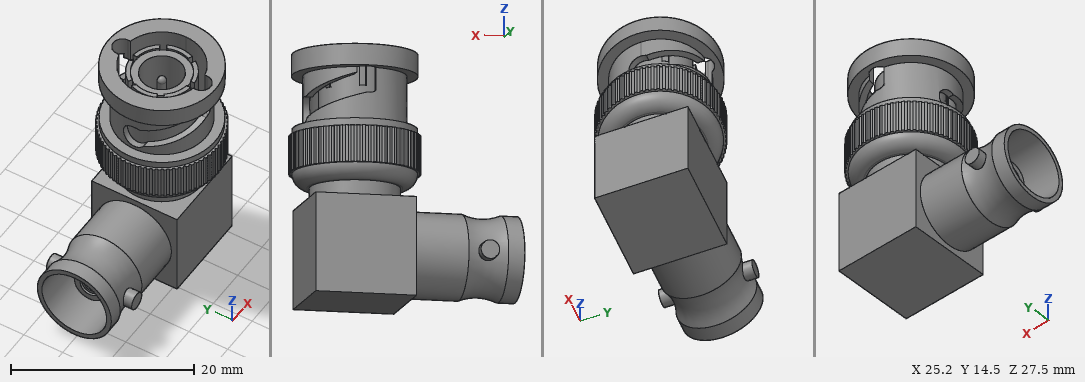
import cadquery as cq
import math


BLOCK_X = 11.3
BLOCK_Y = 11.0
BLOCK_Z = 11.0

PLUG_TOP_Z = 27.48
COLLAR_HEIGHT = 2.36
NUT_BOTTOM_Z = 12.67
NUT_TOP_Z = 19.2
KNURL_BOTTOM_Z = 14.3
KNURL_TOP_Z = 18.37
NUT_ROUNDING = KNURL_BOTTOM_Z - NUT_BOTTOM_Z
COLLAR_BOTTOM_Z = PLUG_TOP_Z - COLLAR_HEIGHT

NECK_RADIUS = 5.0
NUT_RADIUS = 6.87
SLEEVE_RADIUS = 5.7
COLLAR_RADIUS = 6.92
PLUG_BORE_RADIUS = 4.93
PLUG_BORE_FLOOR_Z = KNURL_BOTTOM_Z

KNURL_RADIUS = 7.24
KNURL_TEETH = 72
KNURL_GROOVE_RADIUS = 0.16

RING_OUTER_RADIUS = 3.98
RING_INNER_RADIUS = 3.45
RING_TOP_Z = 26.45
RING_SLIT_WIDTH = 0.76
RING_SLIT_BOTTOM_Z = 23.42
RING_SLIT_COUNT = 6
TUBE_TOP_Z = 26.2
TUBE_BORE_RADIUS = 2.55
PIN_RADIUS = 0.52
PIN_TIP_Z = 25.5

SLOT_WIDTH = 2.5
SLOT_PITCH = 10.0
SLOT_START_Z = 21.07
SLOT_SWEEP = 90.0
DETENT_RADIUS = 1.5
DETENT_Z = 21.13
ENTRY_CORNER_RADIUS = 0.5
ENTRY_RADIUS = 1.17
ENTRY_REACH = 6.26
CUT_CLEARANCE = 0.6

JACK_AXIS_Z = BLOCK_Z / 2
JACK_END_X = -17.97
JACK_RADIUS = 4.77
JACK_BORE_RADIUS = 4.17
WAIST_START = 1.83
WAIST_LENGTH = 4.44
WAIST_DEPTH = 0.45
JACK_BORE_DEPTH = 11.0
INSULATOR_RADIUS = 1.91
INSULATOR_RECESS = 3.1
CONTACT_OUTER_RADIUS = 1.19
CONTACT_HOLE_RADIUS = 0.87
CONTACT_STEP = 0.3
CONTACT_HOLE_DEPTH = 4.0
LUG_RADIUS = 1.04
LUG_SPAN = BLOCK_Y


def cylinder(radius, bottom_z, top_z):
    """Solid cylinder on the plug axis."""
    return cq.Workplane("XY").workplane(offset=bottom_z).circle(radius).extrude(top_z - bottom_z)


def make_block():
    return cq.Workplane("XY").box(BLOCK_X, BLOCK_Y, BLOCK_Z, centered=(True, True, False))


def make_knurl():
    """Straight-knurled band: a disc scalloped by evenly spaced round grooves."""
    height = KNURL_TOP_Z - KNURL_BOTTOM_Z
    pitch_angle = 2 * math.pi / KNURL_TEETH
    half_groove = KNURL_GROOVE_RADIUS / KNURL_RADIUS

    def at(radius, angle):
        return (radius * math.cos(angle), radius * math.sin(angle))

    half_tooth = pitch_angle / 2 - half_groove
    profile = cq.Workplane("XY").workplane(offset=KNURL_BOTTOM_Z).moveTo(*at(KNURL_RADIUS, -half_tooth))
    for tooth in range(KNURL_TEETH):
        crest = tooth * pitch_angle
        valley = crest + pitch_angle / 2
        profile = profile.threePointArc(at(KNURL_RADIUS, crest), at(KNURL_RADIUS, crest + half_tooth))
        groove_floor = at(KNURL_RADIUS - KNURL_GROOVE_RADIUS, valley)
        profile = profile.threePointArc(groove_floor, at(KNURL_RADIUS, valley + half_groove))
    return profile.close().extrude(height)


def make_plug_body():
    """Neck, coupling nut, sleeve and collar, bored from the top."""
    nut = cylinder(NUT_RADIUS, NUT_BOTTOM_Z, NUT_TOP_Z).faces("<Z").edges().fillet(NUT_ROUNDING)
    body = cylinder(NECK_RADIUS, BLOCK_Z, NUT_BOTTOM_Z).union(nut).union(make_knurl())
    body = body.union(cylinder(SLEEVE_RADIUS, NUT_TOP_Z, PLUG_TOP_Z))
    body = body.union(cylinder(COLLAR_RADIUS, COLLAR_BOTTOM_Z, PLUG_TOP_Z))
    return body.cut(cylinder(PLUG_BORE_RADIUS, PLUG_BORE_FLOOR_Z, PLUG_TOP_Z))


def make_bayonet_cutter():
    """One bayonet slot: detent hole at -X, helical ramp to -Y, upright entry at -Y."""
    inner = PLUG_BORE_RADIUS - CUT_CLEARANCE
    outer = SLEEVE_RADIUS + CUT_CLEARANCE
    middle = (inner + outer) / 2
    rise = SLOT_PITCH * SLOT_SWEEP / 360

    helix = cq.Wire.makeHelix(SLOT_PITCH, rise, middle)
    ramp = (
        cq.Workplane("XZ", origin=(middle, 0, 0))
        .rect(outer - inner, SLOT_WIDTH)
        .sweep(cq.Workplane(helix), isFrenet=True)
        .rotate((0, 0, 0), (0, 0, 1), 180)
        .translate((0, 0, SLOT_START_Z))
    )
    detent = cq.Workplane("YZ", origin=(-outer, 0, DETENT_Z)).circle(DETENT_RADIUS).extrude(outer - inner)

    entry_floor_z = SLOT_START_Z + rise - SLOT_WIDTH / 2
    entry_centre = ENTRY_REACH - ENTRY_RADIUS
    entry = (
        cq.Workplane("XY", origin=(0, 0, entry_floor_z))
        .moveTo(-ENTRY_RADIUS, -inner)
        .lineTo(-ENTRY_RADIUS, -entry_centre)
        .threePointArc((0, -ENTRY_REACH), (ENTRY_RADIUS, -entry_centre))
        .lineTo(ENTRY_RADIUS, -inner)
        .close()
        .extrude(PLUG_TOP_Z - entry_floor_z)
        .faces("<Z")
        .fillet(ENTRY_CORNER_RADIUS)
    )
    return ramp.union(detent).union(entry)


def make_plug_interior():
    """Slit spring ring, insulating tube and round-tipped centre pin."""
    ring = cylinder(RING_OUTER_RADIUS, PLUG_BORE_FLOOR_Z, RING_TOP_Z)
    ring = ring.cut(cylinder(RING_INNER_RADIUS, PLUG_BORE_FLOOR_Z, RING_TOP_Z))
    slit_height = RING_TOP_Z - RING_SLIT_BOTTOM_Z
    for index in range(RING_SLIT_COUNT):
        slit = (
            cq.Workplane("XY", origin=(0, 0, RING_SLIT_BOTTOM_Z))
            .box(RING_OUTER_RADIUS + CUT_CLEARANCE, RING_SLIT_WIDTH, slit_height, (False, True, False))
            .rotate((0, 0, 0), (0, 0, 1), 90 + index * 360 / RING_SLIT_COUNT)
        )
        ring = ring.cut(slit)

    tube = cylinder(RING_INNER_RADIUS, PLUG_BORE_FLOOR_Z, TUBE_TOP_Z)
    tube = tube.cut(cylinder(TUBE_BORE_RADIUS, PLUG_BORE_FLOOR_Z, TUBE_TOP_Z))

    tip_centre_z = PIN_TIP_Z - PIN_RADIUS
    pin = cylinder(PIN_RADIUS, PLUG_BORE_FLOOR_Z, tip_centre_z)
    pin = pin.union(cq.Workplane("XY", origin=(0, 0, tip_centre_z)).sphere(PIN_RADIUS))
    return ring.union(tube).union(pin)


def jack_cylinder(radius, start_x, end_x):
    """Solid cylinder on the jack axis."""
    return cq.Workplane("YZ", origin=(start_x, 0, JACK_AXIS_Z)).circle(radius).extrude(end_x - start_x)


def make_jack():
    """Waisted barrel with two bayonet lugs, an insulator and a contact socket inside."""
    block_face_x = -BLOCK_X / 2
    waist_start_x = JACK_END_X + WAIST_START
    waist_mid_x = waist_start_x + WAIST_LENGTH / 2
    barrel = (
        cq.Workplane("XZ")
        .moveTo(JACK_END_X, 0)
        .lineTo(JACK_END_X, JACK_RADIUS)
        .lineTo(waist_start_x, JACK_RADIUS)
        .threePointArc((waist_mid_x, JACK_RADIUS - WAIST_DEPTH), (waist_start_x + WAIST_LENGTH, JACK_RADIUS))
        .lineTo(block_face_x, JACK_RADIUS)
        .lineTo(block_face_x, 0)
        .close()
        .revolve(360, (0, 0, 0), (1, 0, 0))
        .translate((0, 0, JACK_AXIS_Z))
    )
    lugs = (
        cq.Workplane("XZ", origin=(waist_mid_x, 0, JACK_AXIS_Z))
        .circle(LUG_RADIUS)
        .extrude(LUG_SPAN / 2, both=True)
    )
    bore_floor_x = JACK_END_X + JACK_BORE_DEPTH
    jack = barrel.union(lugs).cut(jack_cylinder(JACK_BORE_RADIUS, JACK_END_X, bore_floor_x))

    insulator_x = JACK_END_X + INSULATOR_RECESS
    contact_x = insulator_x + CONTACT_STEP
    insulator = jack_cylinder(INSULATOR_RADIUS, insulator_x, bore_floor_x)
    insulator = insulator.cut(jack_cylinder(CONTACT_OUTER_RADIUS, insulator_x, contact_x))
    insulator = insulator.cut(jack_cylinder(CONTACT_HOLE_RADIUS, contact_x, contact_x + CONTACT_HOLE_DEPTH))
    return jack.union(insulator)


plug = make_plug_body()
slot_cutter = make_bayonet_cutter()
for turn in (0, 180):
    plug = plug.cut(slot_cutter.rotate((0, 0, 0), (0, 0, 1), turn))

result = make_block().union(plug).union(make_plug_interior()).union(make_jack())